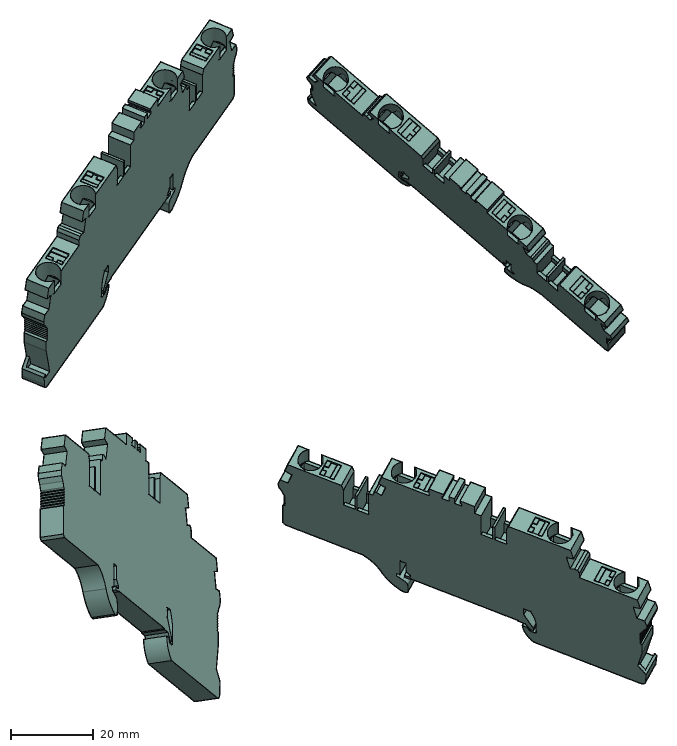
import cadquery as cq

width = 6.2
half_length = 49.6
overall_height = 49.5

lower_deck_z = 36.1
upper_deck_z = 46.5
upper_step_z = 37.2
upper_bump_z = 39.0
heel_z = 9.2
rail_seat_z = 6.8
rail_pad_z = 6.6
rail_gap_top_z = 12.9

lower_deck_edge = 47.0
upper_deck_edge_pos = 21.8
upper_deck_edge_neg = -29.1
upper_step_y = 24.1
lower_step_y = -31.5
heel_edge = 48.3
heel_corner = 0.7

ridge_y_max = 9.0
ridge_y_min = -3.3
marker_tab_y = 2.9
marker_tab_width = 1.5
marker_groove_width = 1.5
marker_groove_depth = 2.0
marker_undercut = 0.4
marker_lip = 0.9
marker_lip_bevel = 0.4

serration_count = 7
serration_pitch = 0.7
serration_depth = 0.3
serration_bottom_z = 17.3
serration_y = 48.0

bridge_depth = 8.1
bridge_width = 6.7
bevel_width = 0.6
bevel_height = 1.7
partition_thickness = 0.6
bridge_well_width = 4.5
bridge_well_depth = 4.0
lower_bridge_y = 28.6
upper_bridge_y = -8.4
lower_partition_height = 6.1
upper_partition_height = 5.5

entry_radius = 3.1
entry_x = 0.5
entry_depth = 5.0
funnel_depth = 4.0
funnel_mouth_x = (-2.6, 2.2)
funnel_floor_x = (-2.2, 1.2)
funnel_mouth_length = 5.4
funnel_floor_length = 3.8

button_width = 4.5
button_length = 3.8
button_recess = 0.6
button_pad_height = 0.3
button_pad_length = 1.1
button_channel_width = 1.2

terminals = [
    (42.5, 36.9, 1, lower_deck_z),
    (17.4, 11.7, 1, upper_deck_z),
    (-24.6, -19.1, 1, upper_deck_z),
    (-42.5, -36.9, -1, lower_deck_z),
]

shin = (-heel_edge, 13.8)
ankle = (-47.1, 7.3)
foot_top = (-49.4, 4.9)
foot_web = 0.9
foot_rim = 0.6
foot_trough_z = 4.3


def extrude_across(outline):
    """Extrude a closed YZ outline over the full width of the block."""
    return outline.extrude(width / 2, both=True)


def box_between(x_range, y_range, z_range):
    size = [high - low for low, high in (x_range, y_range, z_range)]
    corner = (x_range[0], y_range[0], z_range[0])
    return cq.Workplane("XY").box(*size, centered=False).translate(corner)


def clip_points(edge_y, deck_z, side):
    """Marker clip below a deck edge, listed downwards: edge, nose, notch top, notch bottom."""
    offsets = [(0, 0), (0.8, -3.2), (-1.1, -3.9), (-0.1, -8.0)]
    return [(edge_y + side * dy, deck_z + dz) for dy, dz in offsets]


def grip_points(side):
    """End grip listed downwards: shoulder, flank, then the serrations."""
    points = [(49.0, 28.2), (half_length, 26.1), (49.4, 24.7), (48.6, 23.5)]
    for i in range(serration_count, 0, -1):
        z = serration_bottom_z + i * serration_pitch
        points.append((serration_y, z))
        points.append((serration_y - serration_depth, z - serration_pitch / 2))
    points.append((heel_edge, serration_bottom_z))
    return [(side * y, z) for y, z in points]


def plate():
    """Outer profile: up the +Y end, over the decks, down to the -Y foot and back along the rail seat."""
    plus_end = [(heel_edge - heel_corner, heel_z), (heel_edge, heel_z + heel_corner)]
    plus_end += grip_points(1)[::-1]
    plus_end += clip_points(lower_deck_edge, lower_deck_z, 1)[::-1]

    step_wall = lower_bridge_y - bridge_width / 2
    decks = [
        (step_wall, lower_deck_z),
        (step_wall, upper_step_z),
        (upper_step_y, upper_step_z),
        (upper_step_y - 0.4, upper_bump_z),
        (upper_step_y - 1.0, upper_bump_z),
    ]
    decks += clip_points(upper_deck_edge_pos, upper_deck_z, 1)[::-1]
    decks += [
        (ridge_y_max, upper_deck_z),
        (ridge_y_max, overall_height),
        (ridge_y_min, overall_height),
        (ridge_y_min, upper_deck_z),
    ]
    decks += clip_points(upper_deck_edge_neg, upper_deck_z, -1)
    decks += [
        (lower_step_y + 1.3, upper_bump_z),
        (lower_step_y + 0.5, upper_bump_z),
        (lower_step_y, upper_bump_z - 1.0),
        (lower_step_y, lower_deck_z),
    ]

    minus_end = clip_points(-lower_deck_edge, lower_deck_z, -1) + grip_points(-1)
    minus_end += [shin, ankle, foot_top, (-49.2, 1.9)]

    outline = (
        cq.Workplane("YZ")
        .polyline(plus_end + decks + minus_end)
        .threePointArc((-48.8, 0.5), (-47.9, 0))
        .lineTo(-19.2, 0)
        .threePointArc((-17.2, 2.1), (-16.1, 5.4))
        .lineTo(-17.4, 5.4)
        .lineTo(-18.2, 4.3)
        .lineTo(-19.6, 4.3)
        .lineTo(-19.85, 4.6)
        .lineTo(-19.85, 7.7)
        .threePointArc((-19.5, 10.3), (-18.4, rail_gap_top_z))
        .lineTo(-16.5, rail_gap_top_z)
        .lineTo(-16.5, 10.4)
        .lineTo(-19.1, 6.1)
        .lineTo(-19.1, 4.9)
        .lineTo(-18.4, 4.9)
        .lineTo(-16.9, rail_pad_z)
        .lineTo(-14.9, rail_pad_z)
        .lineTo(-14.9, rail_seat_z)
        .lineTo(14.0, rail_seat_z)
        .lineTo(14.0, rail_pad_z)
        .lineTo(15.6, rail_pad_z)
        .lineTo(15.6, 7.4)
        .lineTo(14.1, 7.4)
        .lineTo(14.1, 8.1)
        .lineTo(15.2, 9.4)
        .lineTo(15.2, rail_gap_top_z)
        .lineTo(16.8, rail_gap_top_z)
        .lineTo(16.8, rail_seat_z)
        .threePointArc((17.8, 6.2), (17.2, 5.6))
        .lineTo(16.1, 5.1)
        .threePointArc((15.1, 4.5), (14.7, 3.5))
        .lineTo(14.7, 0.5)
        .threePointArc((14.9, 0.2), (15.3, 0))
        .lineTo(16.3, 0)
        .threePointArc((19.4, 1.9), (21.7, 4.8))
        .threePointArc((23.9, 7.5), (26.8, heel_z))
        .close()
    )
    return extrude_across(outline)


def marker_groove(side):
    """Groove in the ridge, undercut on the wall away from the centre tab."""
    inner = marker_tab_y + side * marker_tab_width / 2
    outer = inner + side * marker_groove_width
    undercut = outer + side * marker_undercut
    floor_z = overall_height - marker_groove_depth
    lip_z = overall_height - marker_lip
    points = [
        (inner, overall_height),
        (inner, floor_z),
        (undercut, floor_z),
        (undercut, lip_z - marker_lip_bevel),
        (outer, lip_z),
        (outer, overall_height),
    ]
    return extrude_across(cq.Workplane("YZ").polyline(points).close())


def bridge_slot(center_y, deck_z, partition_height, bevel_side):
    """Open slot with one bevelled deck edge, a partition and two wells in its floor."""
    floor_z = deck_z - bridge_depth
    well_z = floor_z - bridge_well_depth
    bevel_wall = center_y + bevel_side * bridge_width / 2
    bevel_edge = bevel_wall + bevel_side * bevel_width
    plain_wall = center_y - bevel_side * bridge_width / 2
    points = [
        (plain_wall, floor_z),
        (bevel_wall, floor_z),
        (bevel_wall, deck_z - bevel_height),
        (bevel_edge, deck_z),
        (bevel_edge, overall_height),
        (plain_wall, overall_height),
    ]
    slot = extrude_across(cq.Workplane("YZ").polyline(points).close())
    well = box_between(
        (-bridge_well_width / 2, bridge_well_width / 2),
        (center_y - bridge_width / 2, center_y + bridge_width / 2),
        (well_z, floor_z),
    )
    partition = box_between(
        (-width / 2, width / 2),
        (center_y - partition_thickness / 2, center_y + partition_thickness / 2),
        (well_z, floor_z + partition_height),
    )
    return slot.union(well).cut(partition)


def wire_entry(y, deck_z):
    """Round mouth with a funnel below, tapering to a smaller rectangular floor."""
    mouth_z = deck_z - entry_depth
    mouth_plane = cq.Workplane("XY", origin=(entry_x, y, mouth_z))
    mouth = mouth_plane.circle(entry_radius).extrude(entry_depth)
    shaft = mouth_plane.circle(entry_radius).extrude(-funnel_depth)
    mouth_center = sum(funnel_mouth_x) / 2
    floor_center = sum(funnel_floor_x) / 2
    funnel = (
        cq.Workplane("XY", origin=(mouth_center, y, mouth_z))
        .rect(funnel_mouth_x[1] - funnel_mouth_x[0], funnel_mouth_length)
        .workplane(offset=-funnel_depth)
        .center(floor_center - mouth_center, 0)
        .rect(funnel_floor_x[1] - funnel_floor_x[0], funnel_floor_length)
        .loft()
    )
    return mouth.union(funnel.intersect(shaft))


def release_button(y, deck_z, split_side):
    """Material to remove: the recess, less a pad at each end, one of them split by a channel."""
    floor = cq.Workplane("XY", origin=(0, y, deck_z - button_recess))
    pad_y = (button_length - button_pad_length) / 2
    recess = floor.rect(button_width, button_length).extrude(button_recess)
    pads = (
        floor.pushPoints([(0, pad_y), (0, -pad_y)])
        .rect(button_width, button_pad_length)
        .extrude(button_pad_height)
    )
    channel = (
        floor.center(0, split_side * pad_y)
        .rect(button_channel_width, button_pad_length)
        .extrude(button_pad_height)
    )
    return recess.cut(pads.cut(channel))


def foot_trough():
    """Trough that carries the end face down behind the rim of the foot, open on the +X side."""
    rim_y = foot_top[0] + foot_rim
    face_slope = (ankle[0] - shin[0]) / (ankle[1] - shin[1])
    trough_y = ankle[0] + face_slope * (foot_trough_z - ankle[1])
    points = [ankle, (trough_y, foot_trough_z), (rim_y, foot_trough_z), (rim_y, ankle[1])]
    outline = cq.Workplane("YZ", origin=(foot_web - width / 2, 0, 0)).polyline(points).close()
    return outline.extrude(width - foot_web)


result = plate().cut(foot_trough())
for groove_side in (1, -1):
    result = result.cut(marker_groove(groove_side))
result = result.cut(bridge_slot(lower_bridge_y, lower_deck_z, lower_partition_height, 1))
result = result.cut(bridge_slot(upper_bridge_y, upper_deck_z, upper_partition_height, -1))
for entry_y, button_y, split_side, deck_z in terminals:
    result = result.cut(wire_entry(entry_y, deck_z))
    result = result.cut(release_button(button_y, deck_z, split_side))